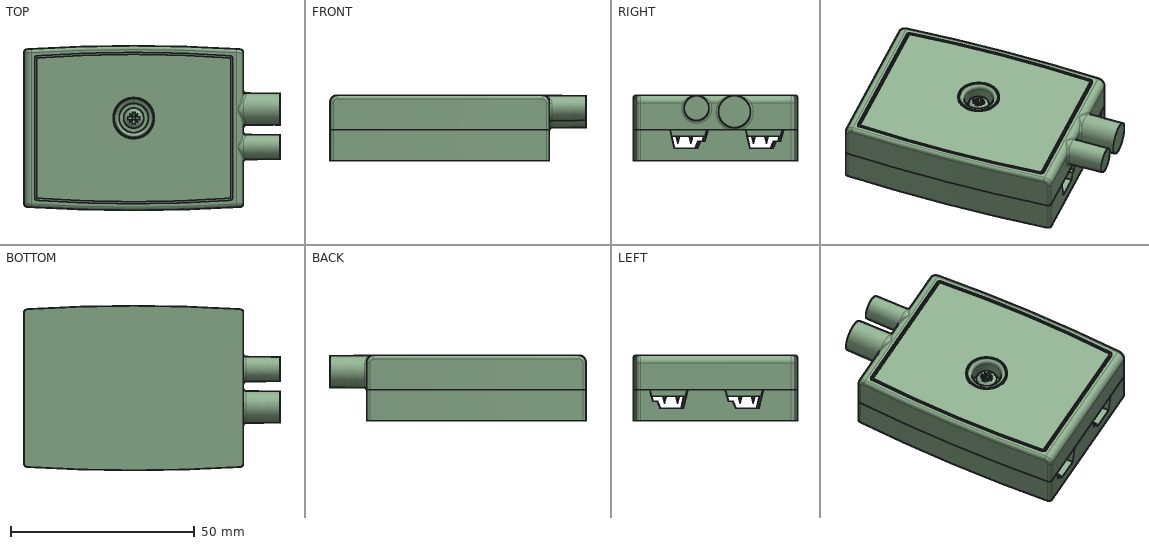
import cadquery as cq
import math

case_length = 60.0
case_width = 45.0
side_bulge = 1.0
case_height = 18.0
parting_height = 8.5
end_edge_radius = 2.0
side_edge_radius = 1.0
end_half_width = case_width / 2 - side_bulge
middle_x = case_length / 2

recess_end_margin = 2.95
recess_side_margin = 1.8
recess_depth = 0.5
recess_corner_radius = 0.85
label_gap = 0.55
label_corner_radius = recess_corner_radius / 2
label_hole_diameter = 11.3
collar_diameter = 10.65

screw_y = 2.7
well_diameter = 8.0
well_rim_radius = 1.0
well_depth = 5.0
head_diameter = 5.5
head_height = 3.4
dome_height = 1.0
shank_diameter = 3.0
shank_bottom = 3.5
cross_length = 3.2
cross_width = 0.85
cross_core_width = 0.6
cross_slope = 37.5
tick_length = 3.1
tick_width = 0.15
well_floor = case_height - well_depth
head_sphere_radius = ((head_diameter / 2) ** 2 + dome_height**2) / (2 * dome_height)

full_length = 70.0
stub_length = full_length - case_length
stub_top = 17.9
stub_draft = 0.5
stub_fillet = 0.6
joint_margin = 0.35
stubs = [(5.2, 8.9), (-5.2, 6.9)]

passage_count = 2
passage_pitch = 20.65
passage_lean = 0.7
passage_top_left = 17.9
passage_top_right = 7.55
passage_ledge_outer = 17.1
passage_ledge_inner = 15.9
passage_floor_left = 15.05
passage_floor_right = 8.75
passage_ledge_z = 5.45
passage_floor_z = 3.5

clamp_start = 18.2
clamp_length = 9.8
clamp_bottom = 6.7
tooth_diameter = 0.9
tooth_tip_z = 4.9
tooth_places = (13.9, 10.35)

margin = 0.1
slab_width = 4 * full_length


def bulged_outline(left, right, half_width, bulge, height):
    """Rectangle whose two long sides are shallow arcs, on a level plane."""
    crest = half_width + bulge
    return (
        cq.Workplane("XY", origin=(0, 0, height))
        .moveTo(left, -half_width)
        .threePointArc((middle_x, -crest), (right, -half_width))
        .lineTo(right, half_width)
        .threePointArc((middle_x, crest), (left, half_width))
        .close()
    )


def upright_cylinder(diameter, bottom, top):
    """Cylinder on the axis of the screw."""
    return (
        cq.Workplane("XY", origin=(middle_x, screw_y, bottom))
        .circle(diameter / 2)
        .extrude(top - bottom)
    )


def level_slab(bottom, top):
    """Slab that reaches beyond the case on every side, for parting bodies by height."""
    plane = cq.Workplane("XY", origin=(0, 0, bottom))
    return plane.rect(slab_width, slab_width).extrude(top - bottom)


def case_block():
    """Closed case, before it is parted into base and cover."""
    block = bulged_outline(0, case_length, end_half_width, side_bulge, 0).extrude(case_height)
    block = block.faces(">Z").edges("|Y").fillet(end_edge_radius)
    side_outlines = cq.selectors.BoxSelector(
        (-margin, -case_width, margin), (case_length + margin, case_width, case_height + margin)
    )
    return block.edges(side_outlines).edges("not(|Y)").fillet(side_edge_radius)


def passage_prisms(start, length):
    """Stretch of both passages, from their floor up to the parting plane."""
    profile = [
        (passage_top_left, parting_height),
        (passage_ledge_outer, passage_ledge_z),
        (passage_ledge_inner, passage_ledge_z),
        (passage_floor_left, passage_floor_z),
        (passage_floor_right, passage_floor_z),
        (passage_top_right, parting_height),
    ]
    lean_rate = passage_lean / case_length
    prisms = cq.Workplane("XY")
    for number in range(passage_count):
        shift = lean_rate * start - number * passage_pitch
        corners = [cq.Vector(start, y + shift, z) for y, z in profile]
        wire = cq.Wire.makePolygon(corners, close=True)
        along = cq.Vector(length, lean_rate * length, 0)
        prisms.add(cq.Solid.extrudeLinear(wire, [], along))
    return prisms


def screw_room():
    """Space taken by the well in the cover and by the shank of the screw."""
    radius = well_diameter / 2
    rim_bottom = case_height - well_rim_radius
    rim_middle = well_rim_radius * (1 - math.sqrt(0.5))
    well = (
        cq.Workplane("XZ")
        .moveTo(0, well_floor)
        .lineTo(radius, well_floor)
        .lineTo(radius, rim_bottom)
        .threePointArc(
            (radius + rim_middle, case_height - rim_middle), (radius + well_rim_radius, case_height)
        )
        .lineTo(0, case_height)
        .close()
        .revolve(360, (0, 0, 0), (0, 1, 0))
        .translate((middle_x, screw_y, 0))
    )
    return well.union(upright_cylinder(shank_diameter, shank_bottom, well_floor))


def make_base(block):
    base = block.intersect(level_slab(0, parting_height))
    for prism in passage_prisms(0, case_length).vals():
        base = base.cut(cq.Workplane(prism))
    return base.cut(screw_room())


def recess_outline(gap):
    """Outline of the label recess, drawn in by a gap on every side."""
    left = recess_end_margin + gap
    right = case_length - left
    half_width = end_half_width - recess_side_margin - gap
    return bulged_outline(left, right, half_width, side_bulge, case_height - recess_depth)


def add_stub(cover, axis_y, diameter):
    """Cable stub that tapers outwards and meets the end of the case in a fillet."""
    buried = 2 * end_edge_radius
    taper = math.tan(math.radians(stub_draft))
    radius = diameter / 2
    axis_z = stub_top - radius
    root = (
        cq.Workplane("YZ", origin=(case_length - buried, axis_y, axis_z))
        .circle(radius)
        .extrude(buried)
    )
    tail = cq.Solid.makeCone(
        radius,
        radius - stub_length * taper,
        stub_length,
        pnt=cq.Vector(case_length, axis_y, axis_z),
        dir=cq.Vector(1, 0, 0),
    )
    joined = cover.union(root).union(cq.Workplane(tail))
    reach = radius + joint_margin
    around_joint = cq.selectors.BoxSelector(
        (case_length - end_edge_radius, axis_y - reach, axis_z - reach),
        (case_length + margin, axis_y + reach, stub_top + margin),
    )
    return joined.edges(around_joint).fillet(stub_fillet)


def clamp_bars():
    """Bar and teeth that reach from the cover into each passage."""
    bars = cq.Workplane("XY")
    for prism in passage_prisms(clamp_start, clamp_length).vals():
        bars = bars.union(cq.Workplane(prism).intersect(level_slab(clamp_bottom, parting_height)))
    tooth_x = clamp_start + clamp_length / 2
    for number in range(passage_count):
        for place in tooth_places:
            tooth = cq.Solid.makeCone(
                tooth_diameter / 2,
                0,
                clamp_bottom - tooth_tip_z,
                pnt=cq.Vector(tooth_x, place - number * passage_pitch, clamp_bottom),
                dir=cq.Vector(0, 0, -1),
            )
            bars = bars.union(cq.Workplane(tooth))
    return bars


def make_cover(block):
    cover = block.intersect(level_slab(parting_height, case_height))
    for axis_y, diameter in stubs:
        cover = add_stub(cover, axis_y, diameter)
    recess = recess_outline(0).extrude(recess_depth).edges("|Z").fillet(recess_corner_radius)
    collar = upright_cylinder(collar_diameter, case_height - recess_depth, case_height)
    cover = cover.cut(recess.cut(collar)).cut(screw_room())
    return cover.union(clamp_bars())


def make_label():
    label = recess_outline(label_gap).extrude(recess_depth).edges("|Z").fillet(label_corner_radius)
    return label.cut(upright_cylinder(label_hole_diameter, 0, case_height))


def cross_recess():
    """Cross with arms whose floors rise from a small flat core, and a tick between the arms."""
    half_core = cross_core_width / 2
    half_length = cross_length / 2
    rise = (half_length - half_core) * math.tan(math.radians(cross_slope))
    sphere_drop = head_sphere_radius - math.sqrt(head_sphere_radius**2 - half_length**2)
    core_z = well_floor + head_height - sphere_drop - rise
    top = case_height
    arm_side = [
        (-half_length, top),
        (-half_length, core_z + rise),
        (-half_core, core_z),
        (half_core, core_z),
        (half_length, core_z + rise),
        (half_length, top),
    ]
    arm = cq.Workplane("XZ").polyline(arm_side).close().extrude(cross_width / 2, both=True)
    tick = (
        cq.Workplane("XY", origin=(0, 0, core_z + rise))
        .rect(tick_length, tick_width)
        .extrude(top - core_z - rise)
    )
    cross = cq.Workplane("XY")
    for angle in (0, 90):
        cross = cross.union(arm.rotate((0, 0, 0), (0, 0, 1), angle))
        cross = cross.union(tick.rotate((0, 0, 0), (0, 0, 1), angle + 45))
    return cross.translate((middle_x, screw_y, 0))


def make_screw():
    sphere_z = well_floor + head_height - head_sphere_radius
    dome = cq.Workplane("XY", origin=(middle_x, screw_y, sphere_z)).sphere(head_sphere_radius)
    column = upright_cylinder(head_diameter, well_floor, well_floor + head_height)
    head = dome.intersect(column)
    shank = upright_cylinder(shank_diameter, shank_bottom, well_floor)
    return head.union(shank).cut(cross_recess())


block = case_block()
base = make_base(block)
cover = make_cover(block)
label = make_label()
screw = make_screw()
result = cq.Compound.makeCompound([base.val(), cover.val(), label.val(), screw.val()])